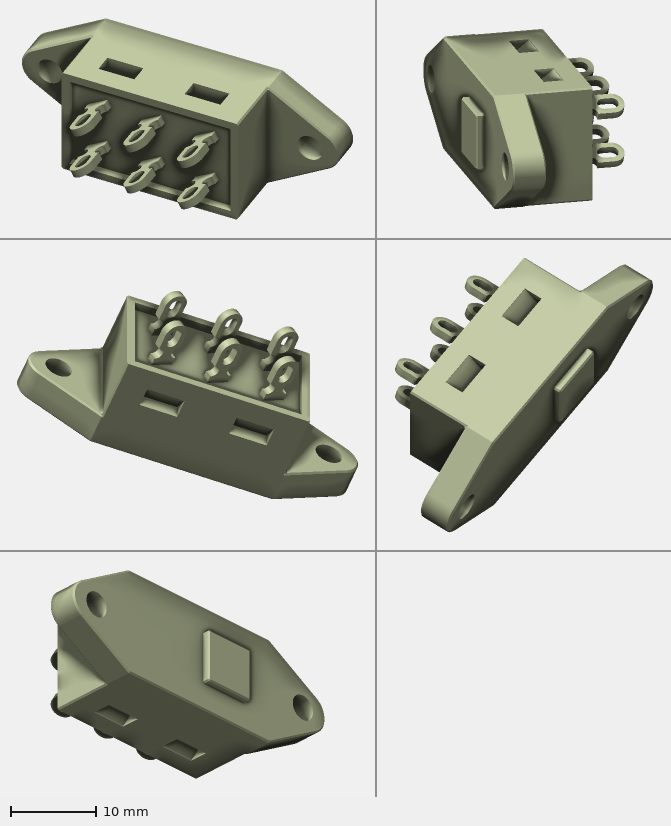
import cadquery as cq
import math


total_length = 41.5
body_length = 23.05
body_height = 14.0
body_depth = 12.05
flange_thickness = 4.03
ear_slope = 30.5
edge_break = 0.2
corner_bevel = 0.2
hole_spacing = 34.0
hole_diameter = 3.3

knob_size = 6.95
knob_height = 1.0
knob_offset = -4.0

wall = 1.0
opening_length = body_length - 2 * wall
opening_height = body_height - 2 * wall
base_recess = 1.0
core_height = 10.0

window_length = 4.7
window_spacing = 11.25
window_start = 7.05
window_end = 9.45
latch_gap = 0.1

terminal_pitch_x = 7.0
terminal_pitch_z = 6.0
terminal_columns = 3
terminal_rows = 2
terminal_tilt = -30.0
terminal_width = 3.0
terminal_thickness = 1.0
terminal_reach = 5.0
eye_width = 1.58
eye_straight = 1.0
notch_radius = 0.75
notch_depth = 0.87

core_start = flange_thickness
plate_start = window_end
plate_end = body_depth - base_recess


def slab(length, height, start, end):
    """Box centred on the Y axis that lies between two depths behind the mounting face."""
    return cq.Workplane("XY").box(length, end - start, height).translate((0, -(start + end) / 2, 0))


def at_both_windows(shape):
    """Two copies of a centred shape, one at each window position along X."""
    left = shape.translate((-window_spacing / 2, 0, 0))
    right = shape.translate((window_spacing / 2, 0, 0))
    return left.union(right)


def make_flange():
    """Six-sided plate whose pointed ends are rounded and tangent to the sloped edges."""
    half_length = total_length / 2
    corner_x = body_length / 2
    corner_z = body_height / 2
    slope = math.radians(ear_slope)
    edge_distance = corner_x * math.sin(slope) + corner_z * math.cos(slope)
    radius = (edge_distance - half_length * math.sin(slope)) / (1 - math.sin(slope))
    tangent_x = half_length - radius + radius * math.sin(slope)
    tangent_z = radius * math.cos(slope)
    return (
        cq.Workplane("XZ")
        .moveTo(-corner_x, corner_z)
        .lineTo(corner_x, corner_z)
        .lineTo(tangent_x, tangent_z)
        .threePointArc((half_length, 0), (tangent_x, -tangent_z))
        .lineTo(corner_x, -corner_z)
        .lineTo(-corner_x, -corner_z)
        .lineTo(-tangent_x, -tangent_z)
        .threePointArc((-half_length, 0), (-tangent_x, tangent_z))
        .close()
        .extrude(flange_thickness)
        .faces("<Y or >Y")
        .chamfer(edge_break)
        .pushPoints([(-hole_spacing / 2, 0), (hole_spacing / 2, 0)])
        .circle(hole_diameter / 2)
        .cutThruAll()
    )


def make_knob():
    knob = slab(knob_size, knob_size, -knob_height, 0)
    knob = knob.edges("|Y").chamfer(edge_break).faces(">Y").chamfer(edge_break)
    return knob.translate((knob_offset, 0, 0))


def make_latches():
    """Wedges that climb from the core to the window edge farthest from the mounting face."""
    low = core_height / 2
    high = body_height / 2 - latch_gap
    upper = (
        cq.Workplane("YZ")
        .polyline([(-window_start, low), (-window_end, high), (-window_end, low)])
        .close()
        .extrude(window_length / 2, both=True)
    )
    pair = upper.union(upper.mirror("XY"))
    return at_both_windows(pair)


def make_corner_bevels():
    """Sloped strips that fill the inner corners between the body sides and the flange."""
    side = body_length / 2
    strip_height = body_height - 2 * edge_break
    bevel = (
        cq.Workplane("XY")
        .polyline([
            (side, -flange_thickness),
            (side + corner_bevel, -flange_thickness),
            (side, -flange_thickness - corner_bevel),
        ])
        .close()
        .extrude(strip_height / 2, both=True)
    )
    return bevel.union(bevel.mirror("YZ"))


def make_housing():
    body = slab(body_length, body_height, edge_break, body_depth).edges("|Y").chamfer(edge_break)
    housing = make_flange().union(body).union(make_corner_bevels()).union(make_knob())
    housing = housing.cut(slab(opening_length, opening_height, plate_start, body_depth))
    housing = housing.cut(slab(opening_length, core_height, core_start, body_depth))
    window = slab(window_length, body_height, window_start, window_end)
    return housing.cut(at_both_windows(window))


def make_terminal():
    """Flat solder tag with a rounded end, an eye and a round notch in each side."""
    half_width = terminal_width / 2
    end_centre = body_depth + terminal_reach - half_width
    eye_centre = end_centre - eye_straight / 2
    notch_centre_x = half_width - notch_depth + notch_radius
    notch_centre = body_depth + notch_radius
    tag = slab(terminal_width, terminal_thickness, plate_end, end_centre)
    tip = cq.Workplane("XY").center(0, -end_centre).circle(half_width)
    tag = tag.union(tip.extrude(terminal_thickness / 2, both=True))
    eye = cq.Workplane("XY").center(0, -eye_centre).slot2D(eye_straight + eye_width, eye_width, 90)
    tag = tag.cut(eye.extrude(terminal_thickness, both=True))
    notches = (
        cq.Workplane("XY")
        .pushPoints([(-notch_centre_x, -notch_centre), (notch_centre_x, -notch_centre)])
        .circle(notch_radius)
        .extrude(terminal_thickness, both=True)
    )
    return tag.cut(notches).rotate((0, 0, 0), (0, 1, 0), terminal_tilt)


def make_base():
    base = slab(opening_length, opening_height, plate_start, plate_end)
    base = base.union(slab(opening_length, core_height, core_start, plate_start))
    base = base.union(make_latches())
    terminal = make_terminal()
    for column in range(terminal_columns):
        for row in range(terminal_rows):
            x = (column - (terminal_columns - 1) / 2) * terminal_pitch_x
            z = (row - (terminal_rows - 1) / 2) * terminal_pitch_z
            base = base.union(terminal.translate((x, 0, z)))
    return base


housing = make_housing()
base = make_base()

result = cq.Compound.makeCompound([housing.solids().val(), base.solids().val()])